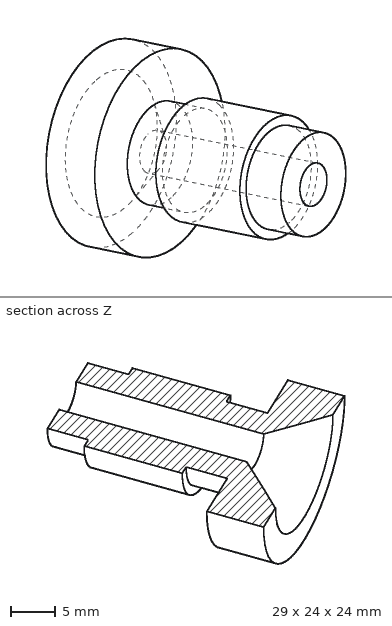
import cadquery as cq

total_length = 29.0
flange_length = 7.0
neck_length = 5.0
tip_length = neck_length
body_length = total_length - flange_length - neck_length - tip_length

flange_diameter = 24.0
neck_diameter = 12.0
tip_diameter = neck_diameter
body_diameter = 14.3
bore_diameter = 5.0
funnel_diameter = 17.0

funnel_depth = (funnel_diameter - bore_diameter) / 2


def make_stepped_shaft():
    """Stack the flange, neck, body and tip along +X."""
    shaft = cq.Workplane("YZ").circle(flange_diameter / 2).extrude(flange_length)
    for diameter, length in (
        (neck_diameter, neck_length),
        (body_diameter, body_length),
        (tip_diameter, tip_length),
    ):
        shaft = shaft.faces(">X").workplane().circle(diameter / 2).extrude(length)
    return shaft


def make_funnel_bore():
    """Through bore with a conical mouth opening at the flange face."""
    bore = cq.Workplane("YZ").circle(bore_diameter / 2).extrude(total_length)
    funnel = cq.Workplane(
        cq.Solid.makeCone(
            funnel_diameter / 2,
            bore_diameter / 2,
            funnel_depth,
            pnt=cq.Vector(0, 0, 0),
            dir=cq.Vector(1, 0, 0),
        )
    )
    return bore.union(funnel)


result = make_stepped_shaft().cut(make_funnel_bore())